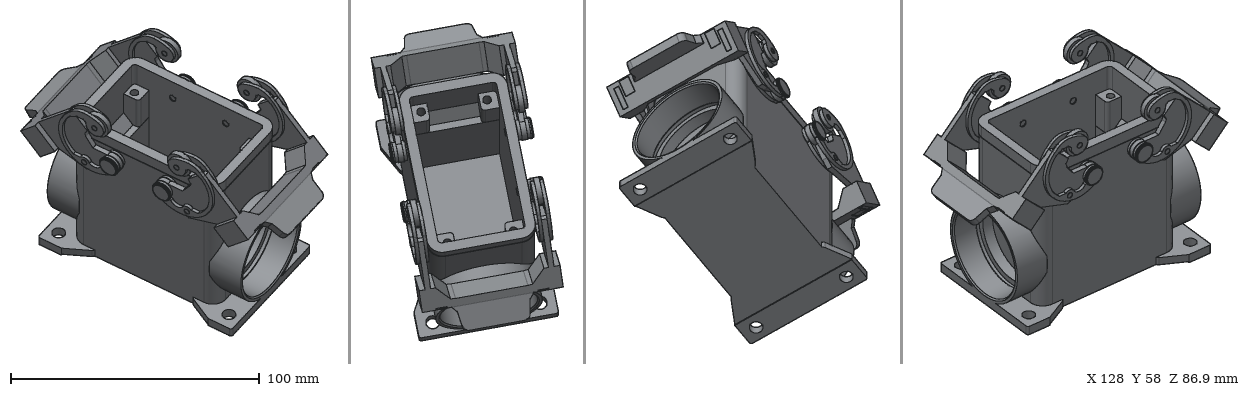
import cadquery as cq
import math

DIAG = math.sqrt(0.5)

BODY_HALF_X = 35.4
BODY_HALF_Y = 21.95
BODY_CORNER_R = 6.25
BODY_BOTTOM_Z = 0.5
RIM_BOTTOM_Z = 67.6
RIM_TOP_Z = 73.0
RIM_OVERHANG = 0.2
CAVITY_HALF_X = 31.5
CAVITY_HALF_Y = 17.85
CAVITY_CORNER_R = 1.6
FLOOR_Z = 3.5

ENTRY_END_X = 46.85
ENTRY_Z = 24.5
ENTRY_R = 21.85
BORE_R = 20.0
BORE_CHAMFER = 0.6
BORE_END_X = 33.4
RELIEF_R = 20.5
RELIEF_WIDTH = 1.8
POCKET_R = 18.0
POCKET_END_X = 28.4
BACKING_HALF_X = 24.1
BACKING_EDGE_X = 27.0
BACKING_TOP_Z = 46.5

POST_SIZE = 7.35
POST_TOP_Z = 61.8
POST_CORNER_R = 1.5
SCREW_X = 28.3
SCREW_Y = 13.5
SCREW_HOLE_R = 1.7
SCREW_HOLE_DEPTH = 12.0

FOOT_HALF_Y = 28.55
FOOT_TOP_Z = 4.05
FOOT_STEP_X = 35.5
FOOT_TIP_X = 23.7
FOOT_TIP_LENGTH = 0.9
FOOT_CORNER_R = 1.0
FOOT_HOLE_X = 41.2
FOOT_HOLE_Y = 22.0
FOOT_HOLE_R = 2.75

CHEEK_Y = (22.7, 27.9)
CORE_Y = (24.1, 26.4)
RIVET_Y = (22.4, 28.15)
RIVET_R = 1.25
TOP_Z = 86.94

RING_X = -21.5
RING_Z = 71.75
RING_R = 15.8
RING_INNER_R = 14.0
RING_END_ANGLE = -54.0
SHOULDER_R = 8.2
HOOK_X = -19.85
HOOK_R = 5.55
HOOK_Z = TOP_Z - HOOK_R
HOOK_CHEEK_R = 4.25
HOOK_UNDERSIDE_Z = 83.2
RIVET_X = -24.87
RIVET_Z = 59.0
RIVET_PAD_R = 2.6

PIVOT_X = -12.8
PIVOT_Z = 63.6
PIVOT_SHAFT_R = 2.4
PIVOT_DISC_R = 4.1
PIVOT_FLANGE_R = 4.4
PIVOT_FLANGE_Y = (27.8, 28.4)
PIVOT_TIP_Y = 29.0
PIVOT_CHAMFER = 0.3
PIN_HOLE_R = 1.5
PIN_HOLE_DEPTH = 0.5

BAR_TOP_X = -48.0
BAR_LENGTH = 9.9
BAR_DEPTH = 13.5
BAR_HALF_Y = 28.85
BAR_WALL = 3.8
NOTCH_TOP_HALF_Y = 22.2
NOTCH_BOTTOM_HALF_Y = 16.8
NOTCH_DISH_HALF_Y = 14.8
NOTCH_DISH = 0.2
SLOT_MARGIN = 2.0
SLOT_DEPTH = 0.5
RECESS_LENGTH = 6.8
RECESS_GAP = 0.4
RECESS_Y = (18.6, 23.1)

TAB_END_X = -63.995
TAB_ANGLE = 33.0
TAB_THICKNESS = 3.8
TAB_EMBED = 3.5
TAB_ROOT_HALF_Y = 16.8
TAB_NECK_HALF_Y = 14.8
TAB_NECK = 2.6
TAB_END_HALF_Y = 13.6
TAB_CORNER_R = 2.7


def box(x_range, y_range, z_range):
    size = [high - low for low, high in (x_range, y_range, z_range)]
    return cq.Workplane("XY").box(*size, centered=False).translate((x_range[0], y_range[0], z_range[0]))


def rounded_block(half_x, half_y, corner_r, z_low, z_high):
    outline = cq.Workplane("XY", origin=(0, 0, z_low)).rect(2 * half_x, 2 * half_y)
    return outline.extrude(z_high - z_low).edges("|Z").fillet(corner_r)


def both_x(solid):
    return solid.union(solid.mirror("YZ"))


def both_y(solid):
    return solid.union(solid.mirror("XZ"))


def side_plane(y_near):
    """XZ sketch on the -Y side; extruding goes outward, away from the body."""
    return cq.Workplane("XZ", origin=(0, -y_near, 0))


def side_disc(x, z, radius, y_near, y_far):
    return side_plane(y_near).center(x, z).circle(radius).extrude(y_far - y_near)


def entry_cylinder(radius, x_outer, x_inner):
    """Cylinder on the axis of the -X cable entry."""
    return cq.Workplane("YZ", origin=(-x_outer, 0, ENTRY_Z)).circle(radius).extrude(x_outer - x_inner)


def on_circle(x, z, radius, angle):
    turn = math.radians(angle)
    return (x + radius * math.cos(turn), z + radius * math.sin(turn))




def make_shell():
    shell = rounded_block(BODY_HALF_X, BODY_HALF_Y, BODY_CORNER_R, BODY_BOTTOM_Z, RIM_BOTTOM_Z)
    rim = rounded_block(
        BODY_HALF_X + RIM_OVERHANG, BODY_HALF_Y + RIM_OVERHANG, BODY_CORNER_R, RIM_BOTTOM_Z, RIM_TOP_Z
    )
    return shell.union(rim)


def make_foot():
    outline = (
        cq.Workplane("XY")
        .moveTo(-ENTRY_END_X, -FOOT_HALF_Y)
        .lineTo(-FOOT_STEP_X, -FOOT_HALF_Y)
        .lineTo(-FOOT_TIP_X - FOOT_TIP_LENGTH, -BODY_HALF_Y - FOOT_TIP_LENGTH)
        .lineTo(-FOOT_TIP_X, -BODY_HALF_Y)
        .lineTo(-FOOT_TIP_X, BODY_HALF_Y)
        .lineTo(-FOOT_TIP_X - FOOT_TIP_LENGTH, BODY_HALF_Y + FOOT_TIP_LENGTH)
        .lineTo(-FOOT_STEP_X, FOOT_HALF_Y)
        .lineTo(-ENTRY_END_X, FOOT_HALF_Y)
        .close()
    )
    foot = outline.extrude(FOOT_TOP_Z).edges("|Z and <X").fillet(FOOT_CORNER_R)
    step = box((-FOOT_STEP_X, 0), (-FOOT_HALF_Y, FOOT_HALF_Y), (0, BODY_BOTTOM_Z))
    holes = (
        cq.Workplane("XY")
        .pushPoints([(-FOOT_HOLE_X, -FOOT_HOLE_Y), (-FOOT_HOLE_X, FOOT_HOLE_Y)])
        .circle(FOOT_HOLE_R)
        .extrude(FOOT_TOP_Z)
    )
    return foot.cut(step).cut(holes)


def make_cavity():
    return rounded_block(CAVITY_HALF_X, CAVITY_HALF_Y, CAVITY_CORNER_R, FLOOR_Z, RIM_TOP_Z)


def make_backing():
    """Thicker end wall behind the entry pocket, with a 45-degree slope on top."""
    slope_rise = CAVITY_HALF_X - BACKING_EDGE_X
    return (
        cq.Workplane("XZ", origin=(0, CAVITY_HALF_Y, 0))
        .moveTo(-CAVITY_HALF_X, FLOOR_Z)
        .lineTo(-BACKING_HALF_X, FLOOR_Z)
        .lineTo(-BACKING_HALF_X, BACKING_TOP_Z)
        .lineTo(-BACKING_EDGE_X, BACKING_TOP_Z)
        .lineTo(-CAVITY_HALF_X, BACKING_TOP_Z + slope_rise)
        .close()
        .extrude(2 * CAVITY_HALF_Y)
    )


def make_post():
    """Corner post with a blind screw hole ending in a drill point."""
    post = box(
        (-CAVITY_HALF_X, -CAVITY_HALF_X + POST_SIZE),
        (-CAVITY_HALF_Y, -CAVITY_HALF_Y + POST_SIZE),
        (FLOOR_Z, POST_TOP_Z),
    )
    post = post.edges("|Z and >X and >Y").fillet(POST_CORNER_R)
    hole = (
        cq.Workplane("XZ", origin=(-SCREW_X, -SCREW_Y, POST_TOP_Z))
        .lineTo(SCREW_HOLE_R, 0)
        .lineTo(SCREW_HOLE_R, -SCREW_HOLE_DEPTH)
        .lineTo(0, -SCREW_HOLE_DEPTH - SCREW_HOLE_R)
        .close()
        .revolve(360, (0, 0, 0), (0, 1, 0))
    )
    return post.cut(hole)


def make_entry_bore():
    bore = entry_cylinder(BORE_R, ENTRY_END_X, BORE_END_X)
    mouth = (
        cq.Workplane("YZ", origin=(-ENTRY_END_X, 0, ENTRY_Z))
        .circle(BORE_R + BORE_CHAMFER)
        .workplane(offset=BORE_CHAMFER)
        .circle(BORE_R)
        .loft()
    )
    relief = entry_cylinder(RELIEF_R, BORE_END_X + RELIEF_WIDTH, BORE_END_X)
    pocket = entry_cylinder(POCKET_R, BORE_END_X, POCKET_END_X)
    return bore.union(mouth).union(relief).union(pocket)


def make_pin_hole():
    """Shallow recess in the cavity wall, in line with the pivot pin."""
    return side_disc(PIVOT_X, PIVOT_Z, PIN_HOLE_R, CAVITY_HALF_Y, CAVITY_HALF_Y + PIN_HOLE_DEPTH)


def make_housing():
    housing = make_shell()
    housing = housing.union(both_x(entry_cylinder(ENTRY_R, ENTRY_END_X, CAVITY_HALF_X)))
    housing = housing.union(both_x(make_foot()))
    housing = housing.cut(make_cavity())
    housing = housing.union(both_x(make_backing()))
    housing = housing.union(both_x(both_y(make_post())))
    housing = housing.cut(both_x(make_entry_bore()))
    return housing.cut(both_x(both_y(make_pin_hole())))



RING_TANGENT = on_circle(RING_X, RING_Z, RING_R, 135)
BAR_TOP_Z = RING_TANGENT[1] - (RING_TANGENT[0] - BAR_TOP_X)
BAR_LOW_X = BAR_TOP_X - BAR_LENGTH * DIAG
BAR_LOW_Z = BAR_TOP_Z - BAR_LENGTH * DIAG
BAR_INNER = (BAR_TOP_X + BAR_DEPTH * DIAG, BAR_TOP_Z - BAR_DEPTH * DIAG)

SHOULDER_Z = TOP_Z - SHOULDER_R
SHOULDER_X = BAR_TOP_X - BAR_TOP_Z + SHOULDER_Z + 2 * SHOULDER_R * DIAG
SHOULDER_START = on_circle(SHOULDER_X, SHOULDER_Z, SHOULDER_R, 135)
SHOULDER_MID = on_circle(SHOULDER_X, SHOULDER_Z, SHOULDER_R, 112.5)
SHOULDER_TOP = (SHOULDER_X, TOP_Z)

HOOK_RUN = HOOK_X - SHOULDER_X
HOOK_DROP = TOP_Z - HOOK_Z
HOOK_BACK_R = (HOOK_RUN**2 + HOOK_DROP**2 - HOOK_CHEEK_R**2) / (2 * (HOOK_DROP - HOOK_CHEEK_R))
HOOK_BACK_Z = TOP_Z - HOOK_BACK_R
HOOK_BACK_ANGLE = math.degrees(math.atan2(HOOK_Z - HOOK_BACK_Z, HOOK_RUN))
HOOK_BACK_MID = on_circle(SHOULDER_X, HOOK_BACK_Z, HOOK_BACK_R, (90 + HOOK_BACK_ANGLE) / 2)
HOOK_BACK_END = on_circle(HOOK_X, HOOK_Z, HOOK_CHEEK_R, HOOK_BACK_ANGLE)

HOOK_THROAT = (-28.6, HOOK_UNDERSIDE_Z)
RING_INNER_TOP = on_circle(RING_X, RING_Z, RING_INNER_R, 137)
RING_END = on_circle(RING_X, RING_Z, RING_R, RING_END_ANGLE)


def make_cheek(y_near, y_far):
    """Hook and ring lying against one face of the core plate."""
    pad_left = on_circle(RIVET_X, RIVET_Z, RIVET_PAD_R, 139)
    pad_top = (RIVET_X, RIVET_Z + RIVET_PAD_R)
    pad_right = on_circle(RIVET_X, RIVET_Z, RIVET_PAD_R, 15)
    web_low = (-20.0, 58.9)
    web_end = (-17.0, 60.7)
    return (
        side_plane(y_near)
        .moveTo(*RING_TANGENT)
        .lineTo(*SHOULDER_START)
        .threePointArc(SHOULDER_MID, SHOULDER_TOP)
        .threePointArc(HOOK_BACK_MID, HOOK_BACK_END)
        .threePointArc(
            on_circle(HOOK_X, HOOK_Z, HOOK_CHEEK_R, -60), on_circle(HOOK_X, HOOK_Z, HOOK_CHEEK_R, 172)
        )
        .lineTo(HOOK_X - HOOK_R, HOOK_UNDERSIDE_Z)
        .lineTo(*HOOK_THROAT)
        .lineTo(*RING_INNER_TOP)
        .threePointArc(
            on_circle(RING_X, RING_Z, RING_INNER_R, 190), on_circle(RING_X, RING_Z, RING_INNER_R, 232)
        )
        .lineTo(*pad_left)
        .threePointArc(pad_top, pad_right)
        .threePointArc(web_low, web_end)
        .lineTo(PIVOT_X, PIVOT_Z)
        .lineTo(*RING_END)
        .threePointArc(on_circle(RING_X, RING_Z, RING_R, 220), RING_TANGENT)
        .close()
        .extrude(y_far - y_near)
    )


def make_core_plate():
    thickness = CORE_Y[1] - CORE_Y[0]
    mouth_start = (-31.0, 82.5)
    mouth_tip = (-24.4, 76.0)
    mouth_inner = (-25.6, 73.8)
    mouth_lower = (-25.15, 72.4)
    top_edge_start = (-21.7, RIM_BOTTOM_Z)
    heel = (-24.7, 53.9)
    heel_end = (-20.9, 55.8)
    plate = (
        side_plane(CORE_Y[0])
        .moveTo(BAR_TOP_X, BAR_TOP_Z)
        .lineTo(*RING_TANGENT)
        .lineTo(*mouth_start)
        .lineTo(*mouth_tip)
        .lineTo(*mouth_inner)
        .lineTo(*mouth_lower)
        .lineTo(*top_edge_start)
        .lineTo(PIVOT_X, RIM_BOTTOM_Z)
        .lineTo(PIVOT_X, PIVOT_Z)
        .lineTo(*heel_end)
        .lineTo(*heel)
        .lineTo(*BAR_INNER)
        .close()
        .extrude(thickness)
    )
    return plate.union(side_disc(HOOK_X, HOOK_Z, HOOK_R, *CORE_Y))


def make_pivot():
    shaft = side_disc(PIVOT_X, PIVOT_Z, PIVOT_SHAFT_R, BODY_HALF_Y - RIM_OVERHANG, CHEEK_Y[0])
    disc = side_disc(PIVOT_X, PIVOT_Z, PIVOT_DISC_R, CHEEK_Y[0], PIVOT_TIP_Y)
    disc = disc.faces("<Y").chamfer(PIVOT_CHAMFER)
    middle_flange = side_disc(PIVOT_X, PIVOT_Z, PIVOT_FLANGE_R, *CORE_Y)
    outer_flange = side_disc(PIVOT_X, PIVOT_Z, PIVOT_FLANGE_R, *PIVOT_FLANGE_Y)
    return shaft.union(disc).union(middle_flange).union(outer_flange)


def make_arm():
    arm = make_core_plate().union(make_pivot())
    arm = arm.union(make_cheek(CHEEK_Y[0], CORE_Y[0])).union(make_cheek(CORE_Y[1], CHEEK_Y[1]))
    for x, z in ((HOOK_X, HOOK_Z), (RIVET_X, RIVET_Z)):
        arm = arm.union(side_disc(x, z, RIVET_R, *RIVET_Y))
    return arm


def make_bar():
    """Crossbar with a tapered notch; sketched on its upper face, local x running down the slope."""
    face = cq.Plane(origin=(BAR_TOP_X, 0, BAR_TOP_Z), xDir=(-DIAG, 0, -DIAG), normal=(-DIAG, 0, DIAG))
    notch_depth = BAR_LENGTH - BAR_WALL
    bar = (
        cq.Workplane(face)
        .moveTo(0, -BAR_HALF_Y)
        .lineTo(BAR_LENGTH, -BAR_HALF_Y)
        .lineTo(BAR_LENGTH, BAR_HALF_Y)
        .lineTo(0, BAR_HALF_Y)
        .lineTo(0, NOTCH_TOP_HALF_Y)
        .lineTo(notch_depth, NOTCH_BOTTOM_HALF_Y)
        .lineTo(notch_depth + NOTCH_DISH, NOTCH_DISH_HALF_Y)
        .lineTo(notch_depth + NOTCH_DISH, -NOTCH_DISH_HALF_Y)
        .lineTo(notch_depth, -NOTCH_BOTTOM_HALF_Y)
        .lineTo(0, -NOTCH_TOP_HALF_Y)
        .close()
        .extrude(-BAR_DEPTH)
    )
    under = cq.Plane(
        origin=(BAR_LOW_X, 0, BAR_LOW_Z),
        xDir=(DIAG, 0, -DIAG),
        normal=(-DIAG, 0, -DIAG),
    )
    slot_length = BAR_DEPTH - 2 * SLOT_MARGIN
    slot_y = sum(CORE_Y) / 2
    slots = (
        cq.Workplane(under)
        .pushPoints([(BAR_DEPTH / 2, -slot_y), (BAR_DEPTH / 2, slot_y)])
        .rect(slot_length, CORE_Y[1] - CORE_Y[0])
        .extrude(-SLOT_DEPTH)
    )
    recess_x = RECESS_GAP + RECESS_LENGTH / 2
    recess_y = sum(RECESS_Y) / 2
    recesses = (
        cq.Workplane(under)
        .pushPoints([(recess_x, -recess_y), (recess_x, recess_y)])
        .rect(RECESS_LENGTH, RECESS_Y[1] - RECESS_Y[0])
        .extrude(-SLOT_DEPTH)
    )
    return bar.cut(slots).cut(recesses)


def make_tab():
    """Finger tab with rounded outer corners; sketched on its top face, local x running outward."""
    turn = math.radians(TAB_ANGLE)
    top = cq.Plane(
        origin=(BAR_LOW_X, 0, BAR_LOW_Z),
        xDir=(-math.cos(turn), 0, -math.sin(turn)),
        normal=(-math.sin(turn), 0, math.cos(turn)),
    )
    length = (BAR_LOW_X - TAB_END_X) / math.cos(turn)
    tab = (
        cq.Workplane(top)
        .moveTo(-TAB_EMBED, -TAB_ROOT_HALF_Y)
        .lineTo(0, -TAB_ROOT_HALF_Y)
        .lineTo(TAB_NECK, -TAB_NECK_HALF_Y)
        .lineTo(length, -TAB_END_HALF_Y)
        .lineTo(length, TAB_END_HALF_Y)
        .lineTo(TAB_NECK, TAB_NECK_HALF_Y)
        .lineTo(0, TAB_ROOT_HALF_Y)
        .lineTo(-TAB_EMBED, TAB_ROOT_HALF_Y)
        .close()
        .extrude(-TAB_THICKNESS)
    )
    return tab.edges(cq.selectors.ParallelDirSelector(top.zDir)).edges("<X").fillet(TAB_CORNER_R)


def make_lever():
    return make_bar().union(make_tab()).union(both_y(make_arm()))


result = make_housing().union(both_x(make_lever()))